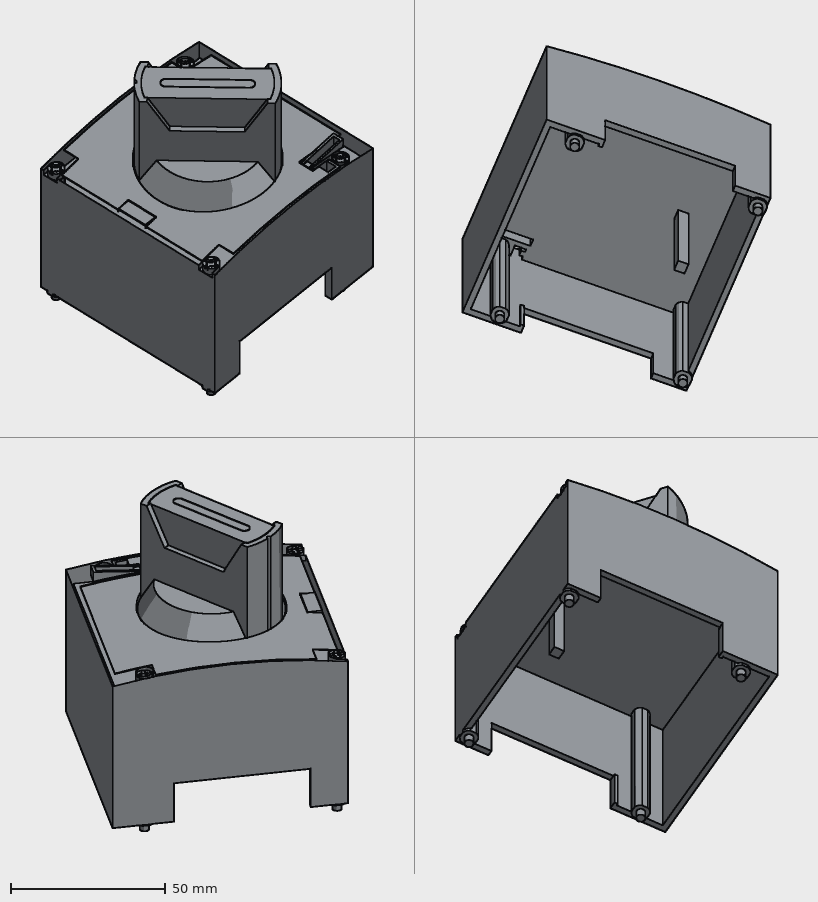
import cadquery as cq

WIDTH = 75.0
DEPTH = 78.0
TOP_Z = 90.8
SHANK_END_Z = TOP_Z - 94.9

CREST_Z = 57.3
EAVE_Z = 53.7
WALL = 2.1
CEILING_Z = 49.35

NOTCH_REAR_Y = 18.6
NOTCH_FRONT_Y = -26.7
NOTCH_Z = 14.5
LEG_RIB_DEPTH = 1.2
LEG_RIB_WALL = 2.8

COVER_SINK = 0.3
COVER_SIDE_X = 36.5
COVER_REAR_Y = 36.7
COVER_FRONT_Y = -37.0
CORNER_X = 30.3
REAR_CORNER_Y = 24.5
FRONT_CORNER_Y = -28.8

RAMP_FIELD_X = (25.5, 31.5)
RAMP_X = (26.4, 30.6)
RAMP_Y = (16.1, 32.2)
RAMP_TOP_Z = 58.5
RAMP_FRONT_Z = 56.8
RAMP_SLOT_X = (27.3, 29.8)
RAMP_SLOT_Y = (18.3, 31.1)

WINDOW_X = (RAMP_FIELD_X[1], WIDTH / 2 - WALL)
WINDOW_Y = (19.2, 23.1)
WINDOW_CORNER_Y = 24.1
LUG_X = (32.5, 34.3)
LUG_LENGTH = 1.3

LATCH_WIDTH = 11.6
LATCH_REAR_Y = -32.2
LATCH_Z = 54.6
LATCH_GAP = 0.3
LATCH_FLOOR_Z = 53.1

POST_SIDE = 3.6
POST_Y = -23.3
POST_END_Z = 12.2

SCREW_X = 33.4
FOOT_HALF = 2.8
FOOT_RADIUS = 3.0
FOOT_DROP = 1.1
SCREW_FRONT_Y = FOOT_HALF - DEPTH / 2
SCREW_REAR_Y = 27.6
SCREW_PLACES = [(x, y) for x in (-SCREW_X, SCREW_X) for y in (SCREW_FRONT_Y, SCREW_REAR_Y)]
SHANK_RADIUS = 1.5
HEAD_SEAT_RADIUS = 2.8
HEAD_RADIUS = 2.75
HEAD_SEAT_Z = 51.7
HEAD_TOP_Z = 54.5
CROSS_LENGTH = 4.7
CROSS_WIDTH = 1.2
CROSS_CORE = 2.3
CROSS_DEPTH = 1.1

KNOB_X = 2.0
KNOB_Y = -1.9
KNOB_ANGLE = 40.0
KNOB_RADIUS = 24.0
KNOB_GAP = 0.4
KNOB_SEAT_Z = 52.2
SKIRT_Z = 54.85
CONE_TOP_Z = 64.2
CONE_TOP_RADIUS = 18.8
GRIP_WIDTH = 18.4
GRIP_RADIUS = 23.9
POCKET_DEPTH = 2.1
POCKET_FLOOR_Z = 77.7
POCKET_HALF_TOP = 19.55
POCKET_HALF_BOTTOM = 12.1
PLATE_RADIUS = 21.6
SINK = 0.2
SLOT_LENGTH = 30.75
SLOT_WIDTH = 3.6
POINTER_RADIUS = 0.9

ABOVE_ROOF_Z = 66.4


def block(x_range, y_range, z_range):
    """Box between the given limits."""
    size = [high - low for low, high in (x_range, y_range, z_range)]
    corner = (x_range[0], y_range[0], z_range[0])
    return cq.Workplane("XY").box(*size, centered=False).translate(corner)


def cylinder(x, y, radius, z_low, z_high):
    """Upright cylinder."""
    return cq.Workplane("XY", origin=(x, y, z_low)).circle(radius).extrude(z_high - z_low)


def arched_block(sink=0):
    """Solid block with the arched roof, lowered by the given amount."""
    return (
        cq.Workplane("YZ", origin=(-WIDTH / 2, 0, 0))
        .moveTo(-DEPTH / 2, 0)
        .lineTo(DEPTH / 2, 0)
        .lineTo(DEPTH / 2, EAVE_Z - sink)
        .threePointArc((0, CREST_Z - sink), (-DEPTH / 2, EAVE_Z - sink))
        .close()
        .extrude(WIDTH)
    )


def hollow_shell():
    """Block open at the bottom, with legs left by the opening through both sides."""
    inner_x = WIDTH / 2 - WALL
    inner_y = DEPTH / 2 - WALL
    shell = arched_block().cut(block((-inner_x, inner_x), (-inner_y, inner_y), (0, CEILING_Z)))
    rib_x = WIDTH / 2 - LEG_RIB_WALL
    rib_y = (NOTCH_REAR_Y, NOTCH_REAR_Y + LEG_RIB_DEPTH)
    for x_range in ((-WIDTH / 2, -rib_x), (rib_x, WIDTH / 2)):
        shell = shell.union(block(x_range, rib_y, (0, NOTCH_Z)))
    opening = block((-WIDTH / 2, WIDTH / 2), (NOTCH_FRONT_Y, NOTCH_REAR_Y), (0, NOTCH_Z))
    return shell.cut(opening)


def cover_field_void():
    """Thin layer removed from the roof to leave the rim and the corner pads."""
    outline = [
        (-CORNER_X, COVER_REAR_Y),
        (-CORNER_X, REAR_CORNER_Y),
        (-COVER_SIDE_X, REAR_CORNER_Y),
        (-COVER_SIDE_X, FRONT_CORNER_Y),
        (-CORNER_X, FRONT_CORNER_Y),
        (-CORNER_X, COVER_FRONT_Y),
        (CORNER_X, COVER_FRONT_Y),
        (CORNER_X, FRONT_CORNER_Y),
        (COVER_SIDE_X, FRONT_CORNER_Y),
        (COVER_SIDE_X, WINDOW_CORNER_Y),
        (RAMP_FIELD_X[1], WINDOW_CORNER_Y),
        (RAMP_FIELD_X[1], RAMP_Y[0]),
        (RAMP_FIELD_X[0], RAMP_Y[0]),
        (RAMP_FIELD_X[0], COVER_REAR_Y),
    ]
    field = cq.Workplane("XY").polyline(outline).close().extrude(ABOVE_ROOF_Z)
    return field.cut(arched_block(COVER_SINK))


def add_ramp(housing):
    """Sloping frame around a long slot through the roof, open at its front end."""
    side = [
        (RAMP_Y[0], CEILING_Z),
        (RAMP_Y[1], CEILING_Z),
        (RAMP_Y[1], RAMP_TOP_Z),
        (RAMP_Y[0], RAMP_FRONT_Z),
    ]
    ramp = (
        cq.Workplane("YZ", origin=(RAMP_X[0], 0, 0))
        .polyline(side)
        .close()
        .extrude(RAMP_X[1] - RAMP_X[0])
    )
    channel = block(RAMP_SLOT_X, (RAMP_Y[0], RAMP_SLOT_Y[1]), (0, ABOVE_ROOF_Z))
    channel = channel.cut(arched_block())
    slot = block(RAMP_SLOT_X, RAMP_SLOT_Y, (NOTCH_Z, ABOVE_ROOF_Z))
    return housing.union(ramp).cut(channel).cut(slot)


def add_window(housing):
    """Square window through the roof with a small lug on its front edge."""
    window = block(WINDOW_X, WINDOW_Y, (NOTCH_Z, ABOVE_ROOF_Z))
    lug = block(LUG_X, (WINDOW_Y[0], WINDOW_Y[0] + LUG_LENGTH), (CEILING_Z, EAVE_Z))
    return housing.cut(window).union(lug)


def add_latch(housing):
    """Flat pad in a shallow pocket at the front edge of the cover field."""
    half = LATCH_WIDTH / 2
    pocket_half = half + LATCH_GAP
    pocket = block(
        (-pocket_half, pocket_half),
        (COVER_FRONT_Y, LATCH_REAR_Y + LATCH_GAP),
        (LATCH_FLOOR_Z, ABOVE_ROOF_Z),
    )
    pad = block((-half, half), (COVER_FRONT_Y, LATCH_REAR_Y), (LATCH_FLOOR_Z, LATCH_Z))
    return housing.cut(pocket).union(pad)


def screw_column(x, y):
    """Column inside the housing, ending in a foot with four flats and the screw shank."""
    foot = cylinder(x, y, FOOT_RADIUS, -FOOT_DROP, HEAD_SEAT_Z)
    flats = block(
        (x - FOOT_HALF, x + FOOT_HALF),
        (y - FOOT_HALF, y + FOOT_HALF),
        (-FOOT_DROP, HEAD_SEAT_Z),
    )
    return foot.intersect(flats).union(cylinder(x, y, SHANK_RADIUS, SHANK_END_Z, 0))


def head_seat(x, y):
    """Counterbore for a screw head; at the front it opens through the front wall."""
    seat = cylinder(x, y, HEAD_SEAT_RADIUS, HEAD_SEAT_Z, ABOVE_ROOF_Z)
    if y < 0:
        seat = seat.union(
            block(
                (x - HEAD_SEAT_RADIUS, x + HEAD_SEAT_RADIUS),
                (-DEPTH / 2, y),
                (HEAD_SEAT_Z, ABOVE_ROOF_Z),
            )
        )
    return seat


def screw_head(x, y):
    """Round head with a cross recess."""
    head = cylinder(x, y, HEAD_RADIUS, HEAD_SEAT_Z, HEAD_TOP_Z)
    arms = [(CROSS_LENGTH, CROSS_WIDTH), (CROSS_WIDTH, CROSS_LENGTH), (CROSS_CORE, CROSS_CORE)]
    for length, width in arms:
        recess = cq.Workplane("XY", origin=(x, y, HEAD_TOP_Z)).rect(length, width).extrude(-CROSS_DEPTH)
        head = head.cut(recess)
    return head


def ceiling_post():
    """Square post hanging from the underside of the roof."""
    half = POST_SIDE / 2
    return block(
        (KNOB_X - half, KNOB_X + half),
        (POST_Y - half, POST_Y + half),
        (POST_END_Z, CEILING_Z),
    )


def make_housing():
    """Housing with its roof details and the four screws fixed in it."""
    housing = hollow_shell().cut(cover_field_void())
    housing = add_ramp(housing)
    housing = add_window(housing)
    housing = add_latch(housing)
    for x, y in SCREW_PLACES:
        housing = housing.union(screw_column(x, y)).cut(head_seat(x, y)).union(screw_head(x, y))
    housing = housing.union(ceiling_post())
    return housing.cut(cylinder(KNOB_X, KNOB_Y, KNOB_RADIUS + KNOB_GAP, KNOB_SEAT_Z, ABOVE_ROOF_Z))


def knob_base():
    """Round skirt that narrows in a cone to a flat top."""
    profile = [
        (0, KNOB_SEAT_Z),
        (KNOB_RADIUS, KNOB_SEAT_Z),
        (KNOB_RADIUS, SKIRT_Z),
        (CONE_TOP_RADIUS, CONE_TOP_Z),
        (0, CONE_TOP_Z),
    ]
    return cq.Workplane("XZ").polyline(profile).close().revolve(360, (0, 0, 0), (0, 1, 0))


def rounded_bar(radius, width, z_low, z_high):
    """Bar along X whose ends lie on a circle about the knob axis."""
    bar = block((-radius, radius), (-width / 2, width / 2), (z_low, z_high))
    return bar.intersect(cylinder(0, 0, radius, z_low, z_high))


def finger_pocket(y_low):
    """Tapered pocket in one flank of the grip, open at the top."""
    outline = [
        (-POCKET_HALF_BOTTOM, POCKET_FLOOR_Z),
        (POCKET_HALF_BOTTOM, POCKET_FLOOR_Z),
        (POCKET_HALF_TOP, TOP_Z),
        (-POCKET_HALF_TOP, TOP_Z),
    ]
    return cq.Workplane("XZ", origin=(0, y_low, 0)).polyline(outline).close().extrude(-POCKET_DEPTH)


def make_knob():
    """Knob with its grip, built along X and then turned into place."""
    flank = GRIP_WIDTH / 2
    plate_width = GRIP_WIDTH - 2 * POCKET_DEPTH
    plate_z = TOP_Z - SINK
    grip = rounded_bar(GRIP_RADIUS, GRIP_WIDTH, KNOB_SEAT_Z, TOP_Z)
    for y_low in (-flank, flank - POCKET_DEPTH):
        grip = grip.cut(finger_pocket(y_low))
    grip = grip.cut(rounded_bar(PLATE_RADIUS, plate_width, plate_z, TOP_Z))
    slot = cq.Workplane("XY", origin=(0, 0, plate_z - SINK)).slot2D(SLOT_LENGTH, SLOT_WIDTH).extrude(SINK)
    knob = knob_base().union(grip.cut(slot))
    pointer_groove = cylinder(-GRIP_RADIUS, 0, POINTER_RADIUS, SKIRT_Z, TOP_Z)
    knob = knob.cut(pointer_groove)
    return knob.rotate((0, 0, 0), (0, 0, 1), KNOB_ANGLE).translate((KNOB_X, KNOB_Y, 0))


housing = make_housing()
knob = make_knob()

result = cq.Compound.makeCompound([housing.solids().val(), knob.solids().val()])